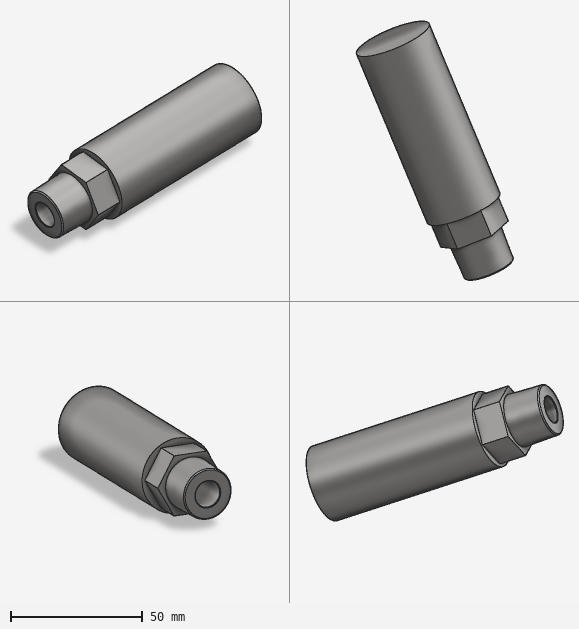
import cadquery as cq

total_length = 98.0
body_diameter = 30.0
body_length = 71.9
hex_across_flats = 24.0
hex_length = 11.2
hex_turn = 30
spigot_root_diameter = 21.1
spigot_tip_diameter = 20.2
tip_chamfer = 0.5
bore_diameter = 10.4
bore_mouth_diameter = 11.0

tip_y = -total_length / 2
body_y = total_length / 2 - body_length
shoulder_y = body_y - hex_length
bore_end_y = body_y
bore_mouth_chamfer = (bore_mouth_diameter - bore_diameter) / 2


def section_at(y):
    """Sketch plane across the axis, extruding toward +Y."""
    return cq.Workplane(cq.Plane(origin=(0, y, 0), xDir=(1, 0, 0), normal=(0, 1, 0)))


def revolve_about_axis(radius_and_y_points):
    profile = cq.Workplane("XY").polyline(radius_and_y_points).close()
    return profile.revolve(360, (0, 0, 0), (0, 1, 0))


body = section_at(body_y).circle(body_diameter / 2).extrude(body_length)

hexagon = (
    section_at(shoulder_y)
    .transformed(rotate=(0, 0, hex_turn))
    .polygon(6, hex_across_flats, circumscribed=True)
    .extrude(hex_length)
)

spigot = revolve_about_axis([
    (0, shoulder_y),
    (spigot_root_diameter / 2, shoulder_y),
    (spigot_tip_diameter / 2, tip_y + tip_chamfer),
    (spigot_tip_diameter / 2 - tip_chamfer, tip_y),
    (0, tip_y),
])

bore = revolve_about_axis([
    (0, tip_y),
    (bore_mouth_diameter / 2, tip_y),
    (bore_diameter / 2, tip_y + bore_mouth_chamfer),
    (bore_diameter / 2, bore_end_y),
    (0, bore_end_y),
])

result = body.union(hexagon).union(spigot).cut(bore)